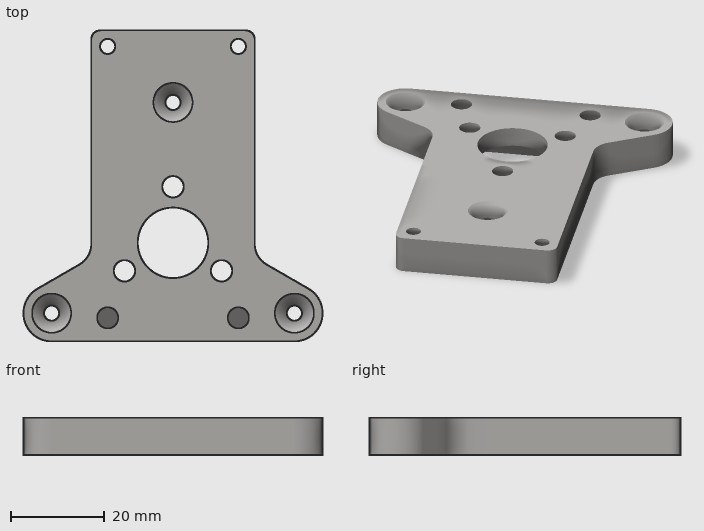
import cadquery as cq
import math

length = 66.5
thickness = 8.0
body_width = 35.0
body_corner_radius = 2.0

ear_radius = 6.05
ear_x = 25.95
ear_slope = math.radians(30)
neck_fillet = 5.0

small_diameter = 3.2
medium_diameter = 4.5
countersink_diameter = 8.4
countersink_angle = 90
rear_screw_y = 51.1
pair_x = 13.95
rear_pair_y = 63.05
blind_pair_y = 5.05
blind_depth = 6.0

bore_diameter = 15.0
bore_y = 21.1
bolt_circle_radius = 12.0
bolt_angles = (90, 210, 330)

recess_margin = 4.5
recess_depth = 3.7


def make_plate():
    """T-shaped plate with round ears and filleted necks."""
    half_width = body_width / 2
    flank_x = ear_x + ear_radius * math.sin(ear_slope)
    flank_y = ear_radius * (1 + math.cos(ear_slope))
    neck_y = flank_y + (flank_x - half_width) * math.tan(ear_slope)
    middle_angle = -ear_slope / 2
    middle_x = ear_x + ear_radius * math.cos(middle_angle)
    middle_y = ear_radius * (1 + math.sin(middle_angle))

    plate = (
        cq.Workplane("XY")
        .moveTo(-ear_x, 0)
        .lineTo(ear_x, 0)
        .threePointArc((middle_x, middle_y), (flank_x, flank_y))
        .lineTo(half_width, neck_y)
        .lineTo(half_width, length)
        .lineTo(-half_width, length)
        .lineTo(-half_width, neck_y)
        .lineTo(-flank_x, flank_y)
        .threePointArc((-middle_x, middle_y), (-ear_x, 0))
        .close()
        .extrude(thickness)
    )
    for side in (-1, 1):
        neck = (side * half_width, neck_y, thickness / 2)
        plate = plate.edges(cq.selectors.NearestToPointSelector(neck)).fillet(neck_fillet)
    return plate.edges("|Z and >Y").fillet(body_corner_radius)


def make_recess(corners):
    """Solid to remove below the bolts: their triangle grown by a round margin."""
    return cq.Workplane("XY").polyline(corners).close().offset2D(recess_margin, "arc").extrude(recess_depth)


def on_top(plate, points):
    """Put hole centres on the top face."""
    return cq.Workplane(plate.val()).copyWorkplane(
        cq.Workplane("XY", origin=(0, 0, thickness))
    ).pushPoints(points)


def mirrored_pair(x, y):
    """Two points at equal distances from the centre line."""
    return [(-x, y), (x, y)]


bolt_points = [
    (
        bolt_circle_radius * math.cos(math.radians(angle)),
        bore_y + bolt_circle_radius * math.sin(math.radians(angle)),
    )
    for angle in bolt_angles
]
screw_points = mirrored_pair(ear_x, ear_radius) + [(0, rear_screw_y)]

result = make_plate()
result = result.cut(make_recess(bolt_points))
result = on_top(result, [(0, bore_y)]).hole(bore_diameter)
result = on_top(result, bolt_points).hole(medium_diameter)
result = on_top(result, mirrored_pair(pair_x, rear_pair_y)).hole(small_diameter)
result = on_top(result, mirrored_pair(pair_x, blind_pair_y)).hole(medium_diameter, blind_depth)
result = on_top(result, screw_points).cskHole(small_diameter, countersink_diameter, countersink_angle)